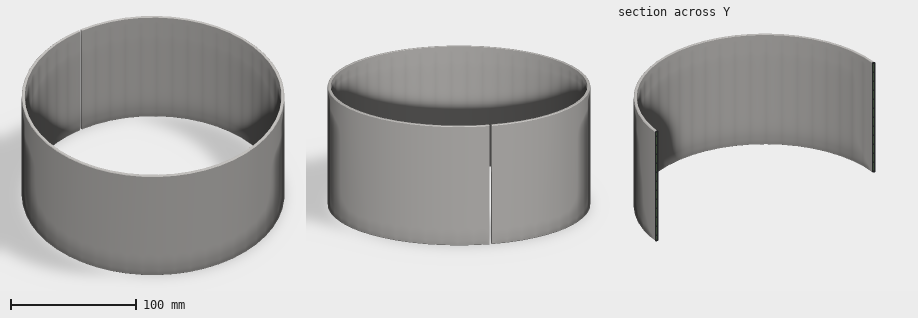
import cadquery as cq

outer_diameter = 210.0
wall_thickness = 2.5
height = 100.0
outer_chamfer = 0.5
inner_chamfer = 0.2
slit_angle = 1.0
ring_start_angle = 180.0

outer_radius = outer_diameter / 2
inner_radius = outer_radius - wall_thickness


def make_wall_profile():
    """Wall section in the XZ plane, with small chamfers inside and larger ones outside."""
    return (
        cq.Workplane("XZ")
        .moveTo(inner_radius + inner_chamfer, 0)
        .lineTo(outer_radius - outer_chamfer, 0)
        .lineTo(outer_radius, outer_chamfer)
        .lineTo(outer_radius, height - outer_chamfer)
        .lineTo(outer_radius - outer_chamfer, height)
        .lineTo(inner_radius + inner_chamfer, height)
        .lineTo(inner_radius, height - inner_chamfer)
        .lineTo(inner_radius, inner_chamfer)
        .close()
    )


def make_split_ring():
    """Ring about the Z axis, open by a narrow slit beside the -X axis, on its +Y side."""
    ring = make_wall_profile().revolve(360 - slit_angle, (0, 0, 0), (0, 1, 0))
    return ring.rotate((0, 0, 0), (0, 0, 1), ring_start_angle)


result = make_split_ring()